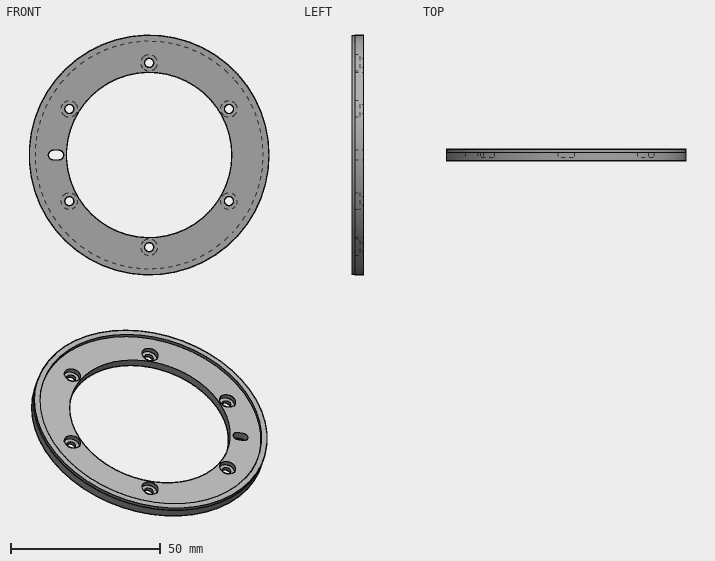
import cadquery as cq

outer_diameter = 80.0
bore_diameter = 55.0
thickness = 3.9

back_rim_width = 1.1
back_rim_step = 0.1

hole_count = 6
hole_diameter = 3.0
hole_circle_diameter = 61.4

recess_diameter = 76.0

counterbore_diameter = 5.5
counterbore_start = 1.2

slot_length = 5.0
slot_width = 3.2
slot_center_x = -31.0


def disc(diameter, depth):
    """Disc from the front face, reaching depth toward +Y."""
    return cq.Workplane("XZ").circle(diameter / 2).extrude(-depth)


def ring_body():
    front_rim = disc(outer_diameter, thickness - back_rim_width)
    full_depth = disc(outer_diameter - 2 * back_rim_step, thickness)
    return front_rim.union(full_depth).cut(disc(bore_diameter, thickness))


def back_recess():
    depth_to_floor = thickness - back_rim_width
    return disc(recess_diameter, thickness).cut(disc(recess_diameter, depth_to_floor))


def hole_pattern(diameter, start):
    """Cylinders on the hole circle, from start below the front face to the back."""
    return (
        cq.Workplane("XZ", origin=(0, start, 0))
        .polarArray(hole_circle_diameter / 2, 90, 360, hole_count)
        .circle(diameter / 2)
        .extrude(start - thickness)
    )


def radial_slot():
    return (
        cq.Workplane("XZ")
        .center(slot_center_x, 0)
        .slot2D(slot_length, slot_width)
        .extrude(-thickness)
    )


ring = ring_body().cut(back_recess()).cut(radial_slot())
ring = ring.cut(hole_pattern(hole_diameter, 0))
ring = ring.cut(hole_pattern(counterbore_diameter, counterbore_start))

result = ring.translate((0, -thickness / 2, 0))